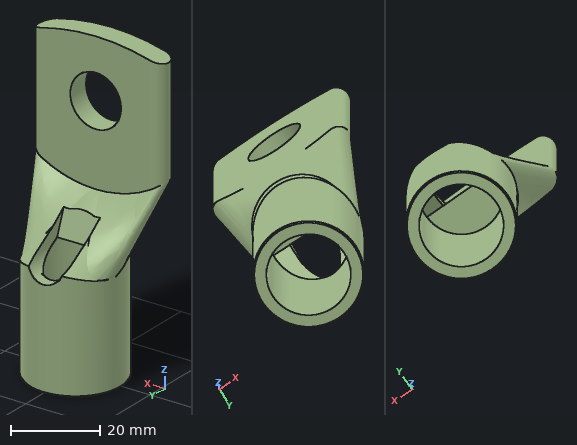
import cadquery as cq
import math

total_height = 80.7
barrel_radius = 12.5
bore_diameter = 19.0
bore_radius = bore_diameter / 2
mouth_chamfer = 0.3

palm_width = 36.0
palm_thickness = 6.1
palm_front_y = -14.0
palm_back_y = palm_front_y + palm_thickness
palm_middle_y = (palm_front_y + palm_back_y) / 2
edge_radius = palm_thickness / 2
half_width = palm_width / 2
flat_half_width = half_width - edge_radius
tip_sag = 2.8
root_z = 42.8
root_sag = 5.8
bolt_hole_diameter = 14.0
bolt_hole_z = 64.65

rim_back_z = 28.1
rim_front_z = 35.2
rim_kink_y = 1.8
rim_slope = (rim_front_z - rim_back_z) / (rim_kink_y + barrel_radius)
back_corner_y = 4.9
front_corner_y = -6.1
lip_overhang = 0.7

ridge_slope = 0.62
crown_radius = 14.5
nose_y = 9.7
nose_edge_z = 29.05

slot_half_width = 5.0
slot_bottom_z = 26.9
slot_top_inner_y = 0.0
slot_top_outer_y = -2.75
slot_top_outer_z = root_z + ridge_slope * (palm_back_y - slot_top_outer_y)
ceiling_z = 32.5
ceiling_slope = 0.56

CUT_MARGIN = 8.1


def rim_height(y):
    return rim_back_z + rim_slope * max(0.0, rim_kink_y - y)


def circle_point(y, side):
    return side * math.sqrt(barrel_radius**2 - y**2), y


def arc_middle(start, end):
    """Point on the barrel circle halfway between two points of it."""
    x = start[0] + end[0]
    y = start[1] + end[1]
    scale = barrel_radius / math.hypot(x, y)
    return x * scale, y * scale


def side_prism(points):
    """Y-Z outline extruded across the full width."""
    return cq.Workplane("YZ").polyline(points).close().extrude(palm_width, both=True)


def make_barrel():
    right = [circle_point(y, 1) for y in (back_corner_y, rim_kink_y, front_corner_y)]
    left = [circle_point(y, -1) for y in (front_corner_y, rim_kink_y, back_corner_y)]
    corners = right + left
    outline = cq.Workplane("XY").moveTo(*corners[0])
    for start, end in zip(corners[:-1], corners[1:]):
        middle = arc_middle(start, end) if start[1] != end[1] else (0, -barrel_radius)
        outline = outline.threePointArc(middle, end)
    outline = outline.threePointArc((0, barrel_radius), corners[0]).close()
    blank = outline.extrude(total_height, clean=False)
    reach = barrel_radius + CUT_MARGIN
    above_rim = side_prism([
        (reach, rim_back_z),
        (rim_kink_y, rim_back_z),
        (-reach, rim_height(-reach)),
        (-reach, total_height + CUT_MARGIN),
        (reach, total_height + CUT_MARGIN),
    ])
    return blank.cut(above_rim, clean=False)


def make_palm():
    diagonal = edge_radius * math.sqrt(0.5)
    near_x = flat_half_width + diagonal
    section = (
        cq.Workplane("XY")
        .moveTo(-flat_half_width, palm_front_y)
        .lineTo(flat_half_width, palm_front_y)
        .threePointArc((near_x, palm_middle_y - diagonal), (half_width, palm_middle_y))
        .threePointArc((near_x, palm_middle_y + diagonal), (flat_half_width, palm_back_y))
        .lineTo(-flat_half_width, palm_back_y)
        .threePointArc((-near_x, palm_middle_y + diagonal), (-half_width, palm_middle_y))
        .threePointArc((-near_x, palm_middle_y - diagonal), (-flat_half_width, palm_front_y))
        .close()
        .extrude(total_height + CUT_MARGIN, clean=False)
    )
    tip_radius = (half_width**2 + tip_sag**2) / (2 * tip_sag)
    root_radius = (half_width**2 + root_sag**2) / (2 * root_sag)
    reach = half_width + CUT_MARGIN / 2
    tip_side_z = total_height - tip_radius + math.sqrt(tip_radius**2 - reach**2)
    root_side_z = root_z + root_radius - math.sqrt(root_radius**2 - reach**2)
    outline = (
        cq.Workplane("XZ")
        .moveTo(-reach, root_side_z)
        .threePointArc((0, root_z), (reach, root_side_z))
        .lineTo(reach, tip_side_z)
        .threePointArc((0, total_height), (-reach, tip_side_z))
        .close()
        .extrude(palm_width, both=True)
    )
    return section.intersect(outline, clean=False)


def nearest_edge(edges, x, y):
    return min(edges, key=lambda edge: math.hypot(edge.Center().x - x, edge.Center().y - y))


def make_panel(rim_edge, root_edge):
    """Ruled face; the root edges run opposite to the rim edges, so they are reversed."""
    return cq.Face.makeRuledSurface(rim_edge, cq.Edge(root_edge.wrapped.Reversed()))


def make_neck(barrel, palm):
    """Ruled panels joining the barrel rim to the curved root of the palm."""
    root_face = palm.faces("<Z").val()
    rim_faces = [face for face in barrel.faces().vals() if face.normalAt().z > 0.5]
    root_edges = root_face.Edges()
    rim_edges = [
        edge for face in rim_faces for edge in face.Edges() if edge.geomType() != "LINE"
    ]

    panels = [make_panel(
        nearest_edge(rim_edges, 0, barrel_radius), nearest_edge(root_edges, 0, palm_back_y))]
    for side in (-1, 1):
        for rim_y, root_y in ((back_corner_y, palm_back_y), (front_corner_y, palm_front_y)):
            rim_edge = nearest_edge(rim_edges, *arc_middle(
                circle_point(rim_y, side), circle_point(rim_kink_y, side)))
            root_edge = nearest_edge(root_edges, side * half_width, root_y)
            panels.append(make_panel(rim_edge, root_edge))

    lip_y = -barrel_radius - lip_overhang
    corner_z = rim_height(front_corner_y)
    lip_start, lip_end = [
        cq.Vector(*circle_point(front_corner_y, side), corner_z) for side in (-1, 1)
    ]
    lip_edge = cq.Edge.makeThreePointArc(
        lip_start, cq.Vector(0, lip_y, rim_height(lip_y)), lip_end)
    front_rim = nearest_edge(rim_edges, 0, -barrel_radius)
    panels.append(make_panel(lip_edge, nearest_edge(root_edges, 0, palm_front_y)))
    lip_face = cq.Face.makeFromWires(cq.Wire.assembleEdges([lip_edge, front_rim]))

    faces = panels + rim_faces + [root_face, lip_face]
    return cq.Workplane(cq.Solid.makeSolid(cq.Shell.makeShell(faces).fix()).fix())


def make_shoulder():
    """Part of the barrel column below a sloped crown, bevelled at the back."""
    ridge_at_nose = root_z + ridge_slope * (palm_back_y - nose_y)
    column = side_prism([
        (palm_back_y, rim_height(palm_back_y)),
        (rim_kink_y, rim_back_z),
        (barrel_radius, rim_back_z),
        (barrel_radius, nose_edge_z),
        (nose_y, ridge_at_nose),
        (palm_back_y, root_z),
    ]).intersect(cq.Workplane("XY").circle(barrel_radius).extrude(total_height))
    ridge_angle = math.atan(ridge_slope)
    ridge_direction = cq.Vector(0, -math.cos(ridge_angle), math.sin(ridge_angle))
    axis_point = cq.Vector(
        0,
        palm_back_y - crown_radius * math.sin(ridge_angle),
        root_z - crown_radius * math.cos(ridge_angle),
    )
    crown_start = axis_point - ridge_direction * total_height
    crown = cq.Solid.makeCylinder(crown_radius, 2 * total_height, crown_start, ridge_direction)
    return column.intersect(cq.Workplane(crown))


def make_bore():
    bore = cq.Workplane("XY").circle(bore_radius).extrude(total_height)
    reach = bore_radius + CUT_MARGIN
    below_ceiling = side_prism([
        (-reach, 0),
        (reach, 0),
        (reach, ceiling_z - ceiling_slope * reach),
        (slot_top_inner_y, ceiling_z),
        (-reach, ceiling_z),
    ])
    return bore.intersect(below_ceiling)


def make_slot():
    """Round-bottomed opening through the back, with a sloped upper end wall."""
    centre_z = slot_bottom_z + slot_half_width
    reach = barrel_radius + CUT_MARGIN
    outline = (
        cq.Workplane("XZ")
        .moveTo(-slot_half_width, total_height)
        .lineTo(-slot_half_width, centre_z)
        .threePointArc((0, slot_bottom_z), (slot_half_width, centre_z))
        .lineTo(slot_half_width, total_height)
        .close()
        .extrude(reach, both=True)
    )
    end_wall_lean = (slot_top_outer_y - slot_top_inner_y) / (slot_top_outer_z - ceiling_z)
    top_z = slot_top_outer_z + CUT_MARGIN
    top_y = slot_top_inner_y + end_wall_lean * (top_z - ceiling_z)
    side_outline = side_prism([
        (slot_top_inner_y, 0),
        (slot_top_inner_y, ceiling_z),
        (top_y, top_z),
        (reach, top_z),
        (reach, 0),
    ])
    return outline.intersect(side_outline)


def make_bolt_hole():
    return (
        cq.Workplane("XZ")
        .center(0, bolt_hole_z)
        .circle(bolt_hole_diameter / 2)
        .extrude(palm_width, both=True)
    )


barrel = make_barrel()
palm = make_palm()
neck = make_neck(barrel, palm)
body = barrel.union(neck).union(make_shoulder()).union(palm)
body = body.faces("<Z").chamfer(mouth_chamfer)
result = body.cut(make_bore()).cut(make_slot()).cut(make_bolt_hole())